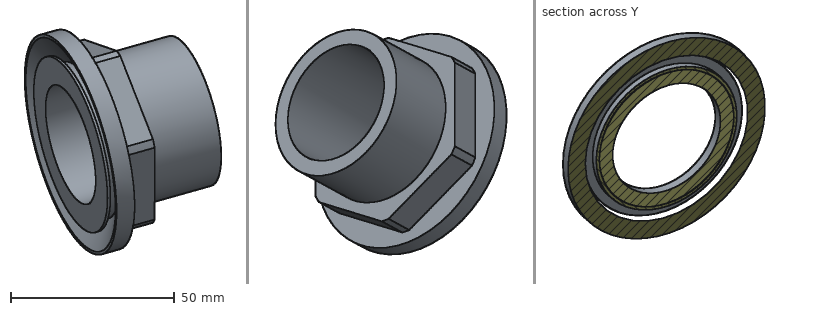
import cadquery as cq

total_length = 40.0
bore_diameter = 38.0
tube_diameter = 47.8

collar_diameter = 56.0
collar_thickness = 1.0
seal_diameter = 50.0

flange_diameter = 70.0
flange_thickness = 6.0
recess_mouth_diameter = 68.05
recess_depth = 5.2

hex_end = 16.0
hex_across_flats = 55.0
hex_corner_diameter = 62.0


def disc(diameter, start, end):
    """A cylinder along Y between two stations."""
    return (
        cq.Workplane("XZ", origin=(0, start, 0))
        .circle(diameter / 2)
        .extrude(start - end)
    )


def make_sleeve():
    """Tube with a thin collar at its front end and a through bore."""
    tube = disc(tube_diameter, 0, total_length)
    collar = disc(collar_diameter, 0, collar_thickness)
    bore = disc(bore_diameter, 0, total_length)
    return tube.union(collar).cut(bore)


def make_seal():
    """Ring around the tube, between the collar and the recess floor."""
    ring = disc(seal_diameter, collar_thickness, recess_depth)
    return ring.cut(disc(tube_diameter, collar_thickness, recess_depth))


def make_hexagon():
    """Hexagon with corners up and down, its corners turned to a cylinder."""
    hexagon = (
        cq.Workplane("XZ", origin=(0, flange_thickness, 0))
        .polygon(6, hex_across_flats, circumscribed=True)
        .extrude(flange_thickness - hex_end)
    )
    return hexagon.intersect(disc(hex_corner_diameter, flange_thickness, hex_end))


def make_recess():
    """Cone that narrows from the flange mouth to the outside of the seal."""
    return (
        cq.Workplane("XY")
        .polyline([
            (0, 0),
            (recess_mouth_diameter / 2, 0),
            (seal_diameter / 2, recess_depth),
            (0, recess_depth),
        ])
        .close()
        .revolve(360, (0, 0, 0), (0, 1, 0))
    )


def make_nut():
    """Round flange with a hexagon behind it and a clear hole for the tube."""
    flange = disc(flange_diameter, 0, flange_thickness)
    hole = disc(tube_diameter, 0, hex_end)
    return flange.union(make_hexagon()).cut(make_recess()).cut(hole)


sleeve = make_sleeve()
seal = make_seal()
nut = make_nut()

result = cq.Compound.makeCompound([sleeve.val(), seal.val(), nut.val()])